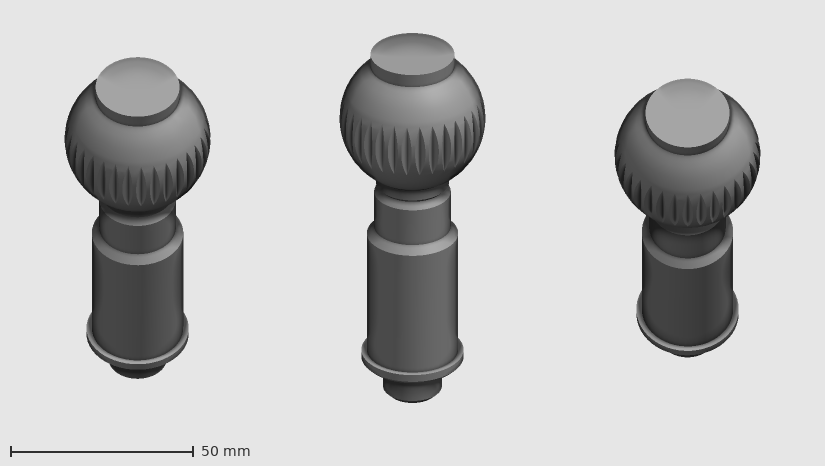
import cadquery as cq
import math

TOTAL_HEIGHT = 106.5
PIN_LENGTH = 10.0
FLANGE_TOP = 13.1
SHOULDER_BOTTOM = 50.0
SHOULDER_TOP = 52.2
COLLAR_TOP = 63.2
PARTING_HEIGHT = 65.1
BALL_CENTRE = 86.4

PIN_RADIUS = 16.1 / 2
FLANGE_RADIUS = 28.0 / 2
SHANK_RADIUS = 25.0 / 2
COLLAR_RADIUS = 21.0 / 2
PIN_CHAMFER = 1.5
FLANGE_CHAMFER = 1.0

BALL_RADIUS = 39.9 / 2
CAP_RADIUS = 11.5
NECK_RADIUS = 10.0
NECK_CHAMFER = 1.0
PARTING_RADIUS = NECK_RADIUS - NECK_CHAMFER

GROOVE_COUNT = 33
GROOVE_DEPTH = 1.5
GROOVE_ANGLE = 90.0


def height_on_ball(radius):
    """Height above or below the ball centre at which the ball has the given radius."""
    return math.sqrt(BALL_RADIUS**2 - radius**2)


def make_bolt():
    """Pin, flange, shank and collar, turned as one piece."""
    return (
        cq.Workplane("XZ")
        .moveTo(0, 0)
        .lineTo(PIN_RADIUS - PIN_CHAMFER, 0)
        .lineTo(PIN_RADIUS, PIN_CHAMFER)
        .lineTo(PIN_RADIUS, PIN_LENGTH)
        .lineTo(FLANGE_RADIUS - FLANGE_CHAMFER, PIN_LENGTH)
        .lineTo(FLANGE_RADIUS, PIN_LENGTH + FLANGE_CHAMFER)
        .lineTo(FLANGE_RADIUS, FLANGE_TOP)
        .lineTo(SHANK_RADIUS, FLANGE_TOP)
        .lineTo(SHANK_RADIUS, SHOULDER_BOTTOM)
        .lineTo(COLLAR_RADIUS, SHOULDER_TOP)
        .lineTo(COLLAR_RADIUS, COLLAR_TOP)
        .lineTo(PARTING_RADIUS, PARTING_HEIGHT)
        .lineTo(0, PARTING_HEIGHT)
        .close()
        .revolve(360, (0, 0), (0, 1))
    )


def make_knob_blank():
    """Neck, ball and flat-topped cap, turned as one piece before grooving."""
    neck_top = BALL_CENTRE - height_on_ball(NECK_RADIUS)
    cap_bottom = BALL_CENTRE + height_on_ball(CAP_RADIUS)
    return (
        cq.Workplane("XZ")
        .moveTo(0, PARTING_HEIGHT)
        .lineTo(PARTING_RADIUS, PARTING_HEIGHT)
        .lineTo(NECK_RADIUS, PARTING_HEIGHT + NECK_CHAMFER)
        .lineTo(NECK_RADIUS, neck_top)
        .threePointArc((BALL_RADIUS, BALL_CENTRE), (CAP_RADIUS, cap_bottom))
        .lineTo(CAP_RADIUS, TOTAL_HEIGHT)
        .lineTo(0, TOTAL_HEIGHT)
        .close()
        .revolve(360, (0, 0), (0, 1))
    )


def make_groove_cutter():
    """Upright V-shaped prism on the +X side, running out of the ball above and below."""
    root_radius = BALL_RADIUS - GROOVE_DEPTH
    cutter_depth = 2 * GROOVE_DEPTH
    half_width = cutter_depth * math.tan(math.radians(GROOVE_ANGLE / 2))
    half_height = BALL_RADIUS / 2
    return (
        cq.Workplane("XY", origin=(0, 0, BALL_CENTRE - half_height))
        .moveTo(root_radius, 0)
        .lineTo(root_radius + cutter_depth, half_width)
        .lineTo(root_radius + cutter_depth, -half_width)
        .close()
        .extrude(2 * half_height)
    )


def make_knob():
    """Ball knob with its ring of evenly spaced grip grooves."""
    knob = make_knob_blank()
    cutter = make_groove_cutter()
    for index in range(GROOVE_COUNT):
        angle = index * 360 / GROOVE_COUNT
        knob = knob.cut(cutter.rotate((0, 0, 0), (0, 0, 1), angle))
    return knob.solids()


bolt = make_bolt()
knob = make_knob()

result = cq.Compound.makeCompound([bolt.val(), knob.val()])